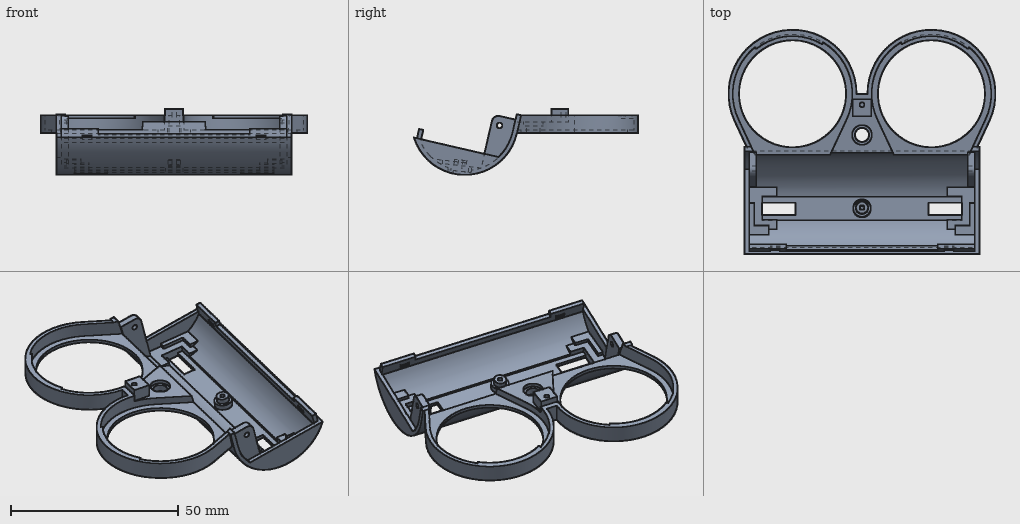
import cadquery as cq
import math


ring_radius = 19.2
ring_center_x = 39.95 - ring_radius
ring_height = 5.35
ring_wall = 1.3
window_radius = 16.0
plate_thickness = 1.0
flank_angle = 25.0
flank_end_y = -20.0
cavity_radius = ring_radius - ring_wall

lip_radius = 17.25
lip_height = 0.95
lip_start_angle = 51.0
lip_end_angle = 121.0

web_height = 3.35
web_cut_back_y = -1.7
web_cut_half_width = 10.0
web_hole_y = -12.3
web_hole_radius = 2.1
web_bore_radius = 2.95
web_bore_depth = 1.1

block_width = 5.4
block_length = 5.1
block_top = 7.3
block_hole_y = -3.3
block_hole_radius = 0.7
block_hole_depth = 2.4

trough_axis_y = -32.7
trough_axis_z = 3.4
trough_tilt = -13.0
trough_half_length = 35.15
trough_radius = 16.0
trough_wall = 1.35
inner_radius = trough_radius - trough_wall
trough_back_top = 5.7
rim_level = -8.1
end_wall = 1.35
inside_half_length = trough_half_length - end_wall

ear_inner_x = 31.6
ear_top = 4.0
ear_edge = 7.8
ear_corner_radius = 2.0
ear_hole_y = 10.4
ear_hole_z = 1.2
ear_hole_radius = 0.8

rail_outer = -12.9
rail_thickness = 1.35
rail_root = -8.95
rail_high_top = -5.2
rail_low_top = -6.6
rail_low_half_length = 22.7
notch_center_x = 26.05
notch_width = 2.9
notch_height = 0.9

seat_tilt = trough_tilt / 2
seat_level = -13.2
seat_spine_x = 29.9
seat_arm_x = 25.5
step_level = -12.15
step_spine_x = 32.2
step_foot_x = 28.0
step_back_y = 1.4
step_foot_y = -5.35
seat_reach = 9.6
groove_half_width = 3.5
groove_floor = -14.9
slot_half_width = 1.8
slot_inner_x = 19.9

post_base_radius = 2.6
post_radius = 1.8
post_top = -11.5
post_hole_radius = 0.68
post_hole_depth = 2.4

below_pipe = -1.5 * trough_radius


def place(shape, tilt):
    """Move a shape from a frame on the pipe axis, tilted about X, to the part's axes."""
    tilted = shape.rotate((0, 0, 0), (1, 0, 0), tilt)
    return tilted.translate((0, trough_axis_y, trough_axis_z))


def box(x_range, y_range, z_range):
    """Axis-aligned box from its low and high limits."""
    sizes = [high - low for low, high in (x_range, y_range, z_range)]
    corner = (x_range[0], y_range[0], z_range[0])
    return cq.Workplane("XY").box(*sizes, centered=False).translate(corner)


def both_ends(shape):
    """A shape together with its mirror image at the other end of the part."""
    return shape.union(shape.mirror("YZ"))


def disc(radius, x, y, bottom, top):
    """Upright round bar between two levels."""
    return cq.Workplane("XY", origin=(x, y, bottom)).circle(radius).extrude(top - bottom)


def pipe(radius, half_length):
    """Solid round bar on the pipe axis."""
    return cq.Workplane("YZ").circle(radius).extrude(half_length, both=True)


def teardrop(radius, bottom, top):
    """Circle with two tangent sides converging towards the trough, on the +X ring."""
    angle = math.radians(flank_angle)
    tangent_x = radius * math.cos(angle)
    tangent_y = -radius * math.sin(angle)
    end_x = tangent_x - (tangent_y - flank_end_y) * math.tan(angle)
    return (
        cq.Workplane("XY", origin=(ring_center_x, 0, bottom))
        .moveTo(-end_x, flank_end_y)
        .lineTo(-tangent_x, tangent_y)
        .threePointArc((0, radius), (tangent_x, tangent_y))
        .lineTo(end_x, flank_end_y)
        .close()
        .extrude(top - bottom)
    )


def ring_lip():
    """Arc of thicker wall at the top of the +X ring, square at both ends."""
    bottom = ring_height - lip_height
    mid_radius = (ring_radius + cavity_radius) / 2
    lip = disc(mid_radius, 0, 0, bottom, ring_height)
    lip = lip.cut(disc(lip_radius, 0, 0, bottom, ring_height))
    reach = 2 * ring_radius
    start = math.radians(lip_start_angle)
    end = math.radians(lip_end_angle)
    sector = (
        cq.Workplane("XY", origin=(0, 0, bottom))
        .lineTo(reach * math.cos(start), reach * math.sin(start))
        .lineTo(reach * math.cos(end), reach * math.sin(end))
        .close()
        .extrude(lip_height)
    )
    return lip.intersect(sector).translate((ring_center_x, 0, 0))


def ring_blank():
    """Both rings, still solid, joined by a full-height web."""
    rings = both_ends(teardrop(ring_radius, 0, ring_height))
    web = box((-ring_center_x, ring_center_x), (flank_end_y, 0), (0, ring_height))
    return rings.union(web)


def ring_cuts():
    """Everything taken out of the rings and of the trough's back wall."""
    cavity = teardrop(cavity_radius, plate_thickness, block_top)
    window = disc(window_radius, ring_center_x, 0, 0, ring_height)
    web_x = (-web_cut_half_width, web_cut_half_width)
    web_top = box(web_x, (flank_end_y, web_cut_back_y), (web_height, block_top))
    hole = disc(web_hole_radius, 0, web_hole_y, 0, web_height)
    bore = disc(web_bore_radius, 0, web_hole_y, web_height - web_bore_depth, web_height)
    return both_ends(cavity.union(window)).union(web_top).union(hole).union(bore)


def stop_block():
    """Block on the web with a blind hole in its top."""
    x_range = (-block_width / 2, block_width / 2)
    y_range = (web_cut_back_y - block_length, web_cut_back_y)
    block = box(x_range, y_range, (web_height, block_top))
    hole = disc(block_hole_radius, 0, block_hole_y, block_top - block_hole_depth, block_top)
    return block.cut(hole)


def trough_shell():
    """Pipe wall from the front rim round to the straight, tangent back wall."""
    tip_y = -math.sqrt(trough_radius**2 - rim_level**2)
    inner_tip_y = -math.sqrt(inner_radius**2 - rim_level**2)
    shell = (
        cq.Workplane("YZ")
        .moveTo(trough_radius, trough_back_top)
        .lineTo(trough_radius, 0)
        .threePointArc((0, -trough_radius), (tip_y, rim_level))
        .lineTo(inner_tip_y, rim_level)
        .threePointArc((0, -inner_radius), (inner_radius, 0))
        .lineTo(inner_radius, trough_back_top)
        .close()
        .extrude(trough_half_length, both=True)
    )
    return place(shell, trough_tilt)


def trough_inside():
    """Space in front of the back wall's inner surface."""
    x_range = (-trough_half_length, trough_half_length)
    above = box(x_range, (-inner_radius, inner_radius), (0, trough_radius))
    return place(pipe(inner_radius, trough_half_length).union(above), trough_tilt)


def end_walls():
    """Pipe segments below the rim that close the trough's ends."""
    y_range = (-trough_radius, trough_radius)
    slab = box((inside_half_length, trough_half_length), y_range, (-trough_radius, rim_level))
    return place(both_ends(slab.intersect(pipe(trough_radius, trough_half_length))), trough_tilt)


def ears():
    """Rounded plates with a pivot hole, standing against the back wall."""
    x_range = (ear_inner_x, inside_half_length)
    ear = box(x_range, (ear_edge, inner_radius), (-trough_radius, ear_top))
    ear = ear.edges("|X and <Y and >Z").fillet(ear_corner_radius)
    upper = box(x_range, (0, inner_radius), (0, ear_top))
    ear = ear.intersect(pipe(inner_radius, trough_half_length).union(upper))
    hole = cq.Workplane("YZ").center(ear_hole_y, ear_hole_z).circle(ear_hole_radius)
    return place(both_ends(ear.cut(hole.extrude(trough_half_length))), trough_tilt)


def snap_rail():
    """Rail on the front rim, taller at both ends, with a notch through each tall part."""
    y_range = (rail_outer, rail_outer + rail_thickness)
    low_x = (-rail_low_half_length, rail_low_half_length)
    rail = box(low_x, y_range, (rail_root, rail_low_top))
    high = box((rail_low_half_length, inside_half_length), y_range, (rail_root, rail_high_top))
    notch_x = (notch_center_x - notch_width / 2, notch_center_x + notch_width / 2)
    notch = box(notch_x, y_range, (rim_level, rim_level + notch_height))
    return place(rail.union(both_ends(high.cut(notch))), trough_tilt)


def seats():
    """C-shaped seats at both ends, each with a raised L-shaped step on it."""
    across = (-seat_reach, seat_reach)
    seat = box((seat_arm_x, inside_half_length), across, (below_pipe, seat_level))
    opening_y = (-groove_half_width, groove_half_width)
    seat = seat.cut(box((seat_arm_x, seat_spine_x), opening_y, (below_pipe, seat_level)))
    step_z = (below_pipe, step_level)
    spine = box((step_spine_x, inside_half_length), (-seat_reach, step_back_y), step_z)
    foot = box((step_foot_x, inside_half_length), (-seat_reach, step_foot_y), step_z)
    wall_middle = (inner_radius + trough_radius) / 2
    seat = seat.union(spine).union(foot).intersect(pipe(wall_middle, trough_half_length))
    return place(both_ends(seat), seat_tilt)


def groove():
    """Flat-bottomed groove between the seats with a slot through the wall at each end."""
    floor_y = (-groove_half_width, groove_half_width)
    pocket = box((-seat_spine_x, seat_spine_x), floor_y, (groove_floor, seat_level))
    slot_y = (-slot_half_width, slot_half_width)
    slot = box((slot_inner_x, seat_spine_x), slot_y, (below_pipe, seat_level))
    return place(pocket.union(both_ends(slot)), seat_tilt)


def post():
    """Stepped round post with a blind screw hole."""
    stepped = disc(post_base_radius, 0, 0, groove_floor, seat_level)
    stepped = stepped.union(disc(post_radius, 0, 0, seat_level, post_top))
    hole = disc(post_hole_radius, 0, 0, post_top - post_hole_depth, post_top)
    return place(stepped.cut(hole), seat_tilt)


body = ring_blank().cut(trough_inside()).union(trough_shell()).cut(ring_cuts())
body = body.union(both_ends(ring_lip())).union(stop_block())
body = body.union(end_walls()).union(ears()).union(snap_rail()).union(seats())
result = body.cut(groove()).union(post())